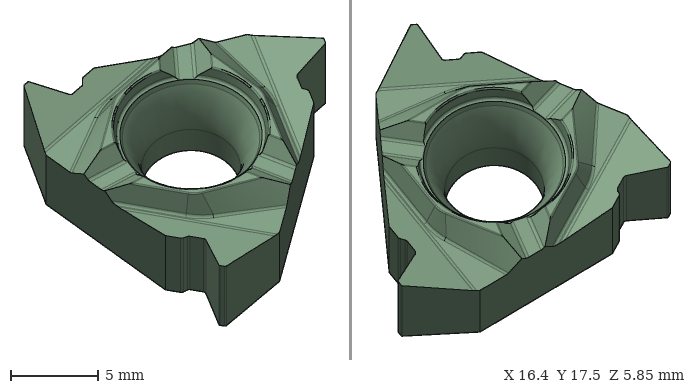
import cadquery as cq
import math

CORNERS = 3
CORNER_STEP = 360 / CORNERS

total_height = 5.85
floor_height = 4.58
slot_floor_height = 5.05
seat_land_height = slot_floor_height

side_distance = 6.37
shoulder_height = 5.42
tip_height = 9.28
tip_left = -4.05
tip_right = -3.65
root_height = 7.1
root_left = -2.38
root_right = -1.4
wiper_height = 7.42
wiper_left = -1.08
tip_radius = 0.1
root_radius = 0.21

rake_angle = 15.3
rake_foot = 5.69
rake_blend_radius = 0.68

stock_reach = 2 * tip_height

island_top_distance = 4.72
steep_base_distance = 5.39
twisted_base_distance = 5.64
steep_direction = 90
twisted_top_direction = 120
twisted_base_direction = 112
island_top_radius = 1.5
island_base_radius = 4.2
island_foot_radius = 0.23
island_rim_radius = 0.1

hole_radius = 5.7 / 2
hole_edge_height = 1.96
countersink_radius = 3.94
countersink_height = 4.81
seat_land_radius = 4.08
seat_foot_radius = 4.29
seat_foot_height = 5.23
seat_top_radius = 4.46

slot_direction = 46
slot_floor_half_width = 0.52
slot_top_half_width = 1.49
slot_length = 10.5
slot_foot_radius = 0.33


def turned(point, angle):
    """Rotate a plan point about the origin by an angle in degrees."""
    x, y = point
    c = math.cos(math.radians(angle))
    s = math.sin(math.radians(angle))
    return (x * c - y * s, x * s + y * c)


def crossing(direction_a, distance_a, direction_b, distance_b):
    """Meeting point of two lines, each given by its normal direction and distance from the origin."""
    a = math.radians(direction_a)
    b = math.radians(direction_b)
    det = math.sin(b - a)
    x = (distance_a * math.sin(b) - distance_b * math.sin(a)) / det
    y = (distance_b * math.cos(a) - distance_a * math.cos(b)) / det
    return (x, y)


def on_every_corner(shape):
    """The shape joined with its copies at the other corners."""
    joined = shape
    for i in range(1, CORNERS):
        joined = joined.union(shape.rotate((0, 0, 0), (0, 0, 1), -i * CORNER_STEP))
    return joined


def make_outline():
    """Full-height prism with the thread-form outline."""
    wiper_end = 2 * side_distance - math.sqrt(3) * wiper_height
    corner = [
        ((-side_distance, shoulder_height), 0),
        ((tip_left, tip_height), tip_radius),
        ((tip_right, tip_height), tip_radius),
        ((root_left, root_height), root_radius),
        ((root_right, root_height), root_radius),
        ((wiper_left, wiper_height), root_radius),
        ((wiper_end, wiper_height), 0),
    ]
    placed = [
        (turned(point, -i * CORNER_STEP), radius)
        for i in range(CORNERS)
        for point, radius in corner
    ]
    prism = cq.Workplane("XY").polyline([p for p, _ in placed]).close().extrude(total_height)
    for (x, y), radius in placed:
        if radius:
            nearest = cq.selectors.NearestToPointSelector((x, y, total_height / 2))
            prism = prism.edges("|Z").edges(nearest).fillet(radius)
    return prism


def make_rake_wedge():
    """Wedge of one corner, rising outward from the floor with a concave blend at its foot."""
    angle = math.radians(rake_angle)
    setback = rake_blend_radius * math.tan(angle / 2)
    rise = (stock_reach - rake_foot) * math.tan(angle)
    blend_mid = (
        rake_foot - setback + rake_blend_radius * math.sin(angle / 2),
        floor_height + rake_blend_radius * (1 - math.cos(angle / 2)),
    )
    blend_end = (
        rake_foot + setback * math.cos(angle),
        floor_height + setback * math.sin(angle),
    )
    return (
        cq.Workplane("YZ")
        .moveTo(rake_foot - setback, floor_height)
        .threePointArc(blend_mid, blend_end)
        .lineTo(stock_reach, floor_height + rise)
        .lineTo(stock_reach, 0)
        .lineTo(rake_foot - setback, 0)
        .close()
        .extrude(stock_reach, both=True)
    )


def island_section(height, steep_distance, twisted_direction, twisted_distance, radius):
    """Six-sided section whose corner between each steep and twisted flank is rounded."""
    bend = crossing(steep_direction, steep_distance, twisted_direction, twisted_distance)
    end = crossing(
        twisted_direction, twisted_distance, steep_direction + CORNER_STEP, steep_distance
    )
    half_turn = math.radians((twisted_direction - steep_direction) / 2)
    setback = radius * math.tan(half_turn)
    middle = math.radians((twisted_direction + steep_direction) / 2)
    sagitta = radius * (1 / math.cos(half_turn) - 1)
    along = math.radians(twisted_direction + 90)
    arc_start = (bend[0] + setback, bend[1])
    arc_mid = (bend[0] - sagitta * math.cos(middle), bend[1] - sagitta * math.sin(middle))
    arc_end = (bend[0] + setback * math.cos(along), bend[1] + setback * math.sin(along))

    wire = cq.Workplane("XY", origin=(0, 0, height)).moveTo(*turned(end, -CORNER_STEP))
    for i in range(CORNERS):
        turn = i * CORNER_STEP
        wire = wire.lineTo(*turned(arc_start, turn))
        wire = wire.threePointArc(turned(arc_mid, turn), turned(arc_end, turn))
        if i < CORNERS - 1:
            wire = wire.lineTo(*turned(end, turn))
    return wire.close().val()


def make_floor_with_island():
    """Floor slab carrying the lofted island, blended into the floor at its foot."""
    base = island_section(
        floor_height,
        steep_base_distance,
        twisted_base_direction,
        twisted_base_distance,
        island_base_radius,
    )
    top = island_section(
        total_height,
        island_top_distance,
        twisted_top_direction,
        island_top_distance,
        island_top_radius,
    )
    island = cq.Workplane(cq.Solid.makeLoft([base, top], True))
    slab = cq.Workplane("XY").rect(2 * stock_reach, 2 * stock_reach).extrude(floor_height)
    foot_edges = cq.selectors.BoxSelector(
        (-tip_height, -tip_height, floor_height - island_foot_radius),
        (tip_height, tip_height, floor_height + island_foot_radius),
    )
    return slab.union(island).edges(foot_edges).fillet(island_foot_radius)


def make_hole():
    """Through hole with a flared countersink and a ring-shaped seat blended into its wall."""
    drop = countersink_height - hole_edge_height
    spread = countersink_radius - hole_radius
    curve_radius = (drop**2 + spread**2) / (2 * spread)
    half_angle = math.asin(drop / curve_radius) / 2
    curve_mid = (
        hole_radius + curve_radius * (1 - math.cos(half_angle)),
        hole_edge_height + curve_radius * math.sin(half_angle),
    )
    foot_mid = (
        seat_foot_radius - (seat_foot_radius - seat_land_radius) * (1 - math.sqrt(0.5)),
        seat_land_height + (seat_foot_height - seat_land_height) * (1 - math.sqrt(0.5)),
    )
    return (
        cq.Workplane("XZ")
        .lineTo(hole_radius, 0)
        .lineTo(hole_radius, hole_edge_height)
        .threePointArc(curve_mid, (countersink_radius, countersink_height))
        .lineTo(seat_land_radius, seat_land_height)
        .threePointArc(foot_mid, (seat_foot_radius, seat_foot_height))
        .lineTo(seat_top_radius, total_height)
        .lineTo(0, total_height)
        .close()
        .revolve(360, (0, 0, 0), (0, 1, 0))
    )


def make_slot():
    """One slot with a flat floor and sloping walls, running outward from the hole."""
    return (
        cq.Workplane("YZ")
        .polyline(
            [
                (-slot_floor_half_width, slot_floor_height),
                (slot_floor_half_width, slot_floor_height),
                (slot_top_half_width, total_height),
                (-slot_top_half_width, total_height),
            ]
        )
        .close()
        .extrude(slot_length)
        .edges("|X and <Z")
        .fillet(slot_foot_radius)
        .rotate((0, 0, 0), (0, 0, 1), slot_direction)
    )


upper = make_floor_with_island().union(on_every_corner(make_rake_wedge()))
body = make_outline().intersect(upper)
body = body.cut(on_every_corner(make_slot())).cut(make_hole())
result = body.faces(">Z").edges().fillet(island_rim_radius)